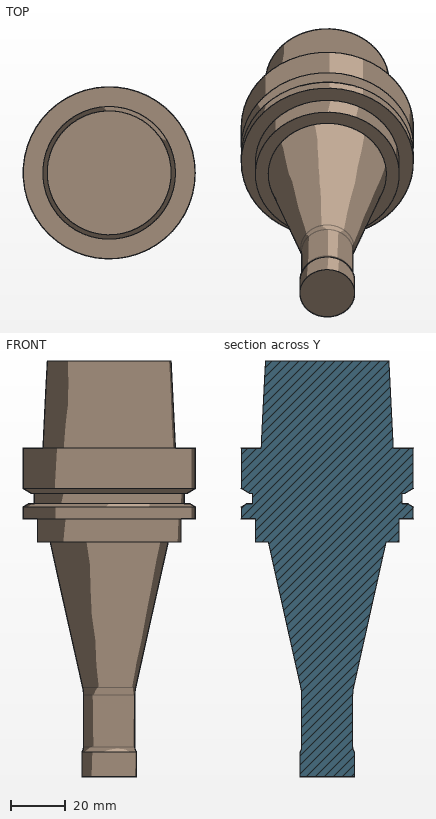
import cadquery as cq
import math

total_length = 152.0
shank_length = 31.9
shank_top_radius = 45.3 / 2
shank_base_radius = 48.5 / 2

flange_radius = 63.0 / 2
flange_thickness = 25.8
flange_upper_land = 14.7
upper_bevel_height = 1.8
upper_bevel_width = 3.0
groove_radius = 55.0 / 2
groove_width = 3.6
lower_bevel_height = 1.2
lower_bevel_width = 2.0

collar_radius = 52.6 / 2
collar_length = 8.5

neck_top_radius = 43.2 / 2
stem_radius = 18.8 / 2
stem_top_z = 30.0
neck_blend_height = 2.7
neck_blend_width = 0.3

nose_radius = 20.0 / 2
nose_length = 9.1
nose_fillet_radius = 3.0

flange_top_z = total_length - shank_length
flange_bottom_z = flange_top_z - flange_thickness
collar_bottom_z = flange_bottom_z - collar_length
upper_bevel_top_z = flange_top_z - flange_upper_land
groove_top_z = upper_bevel_top_z - upper_bevel_height
groove_bottom_z = groove_top_z - groove_width
lower_bevel_bottom_z = groove_bottom_z - lower_bevel_height


def nose_fillet_point(angle):
    """Point on the concave fillet, at an angle measured from its tangency with the stem."""
    radius = stem_radius + nose_fillet_radius * (1 - math.cos(angle))
    height = stem_bottom_z - nose_fillet_radius * math.sin(angle)
    return radius, height


nose_fillet_angle = math.acos(1 - (nose_radius - stem_radius) / nose_fillet_radius)
stem_bottom_z = nose_length + nose_fillet_radius * math.sin(nose_fillet_angle)

profile = (
    cq.Workplane("XZ")
    .moveTo(0, 0)
    .lineTo(nose_radius, 0)
    .lineTo(nose_radius, nose_length)
    .threePointArc(nose_fillet_point(nose_fillet_angle / 2), (stem_radius, stem_bottom_z))
    .lineTo(stem_radius, stem_top_z)
    .tangentArcPoint((neck_blend_width, neck_blend_height))
    .lineTo(neck_top_radius, collar_bottom_z)
    .lineTo(collar_radius, collar_bottom_z)
    .lineTo(collar_radius, flange_bottom_z)
    .lineTo(flange_radius, flange_bottom_z)
    .lineTo(flange_radius, lower_bevel_bottom_z)
    .lineTo(flange_radius - lower_bevel_width, groove_bottom_z)
    .lineTo(groove_radius, groove_bottom_z)
    .lineTo(groove_radius, groove_top_z)
    .lineTo(flange_radius - upper_bevel_width, groove_top_z)
    .lineTo(flange_radius, upper_bevel_top_z)
    .lineTo(flange_radius, flange_top_z)
    .lineTo(shank_base_radius, flange_top_z)
    .lineTo(shank_top_radius, total_length)
    .lineTo(0, total_length)
    .close()
)

result = profile.revolve(360, (0, 0, 0), (0, 1, 0))